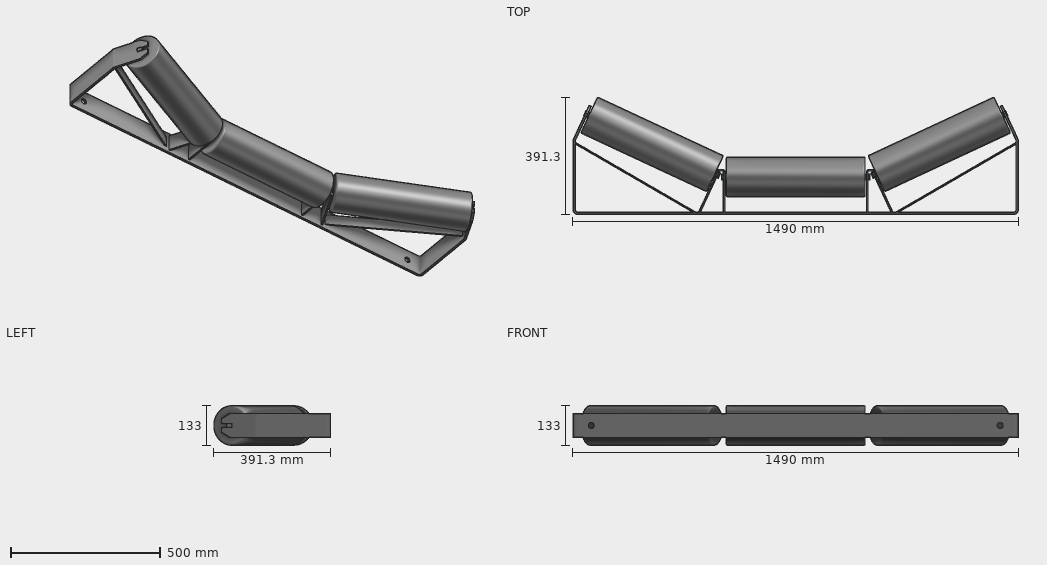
import cadquery as cq
import math

plate_width = 80.0
frame_thickness = 8.0
bend_radius = 16.0
trough_angle = 25.0

frame_length = 1490.0
end_bend_y = 250.0
end_arm_length = 127.0
tip_chamfer_width = 16.0
tip_chamfer_length = 28.0
mount_hole_diameter = 20.0
mount_hole_x = 684.0

roller_diameter = 133.0
roller_length = 465.0
roller_edge_radius = 5.0
shaft_diameter = 20.0
shaft_flat_width = 14.0
shaft_reach = 16.0
centre_roller_y = 125.5
side_roller_x = 480.5
side_roller_y = 234.37

bracket_width = 60.0
bracket_thickness = 6.0
bracket_inner_x = 236.5
bracket_top_y = 151.0
bracket_top_length = 22.0
bracket_bend_radius = 10.0

brace_width = 40.0
brace_thickness = 5.0
brace_end_y = 241.0
brace_foot_x = 335.0

frame_half = frame_length / 2
sin_trough = math.sin(math.radians(trough_angle))
cos_trough = math.cos(math.radians(trough_angle))
tan_trough = sin_trough / cos_trough


def mirrored(body):
    return body.mirror("YZ")


def plate_strip(outline, width):
    """Closed XY outline extruded over the width, centred on Z = 0."""
    return cq.Workplane("XY").polyline(outline).close().extrude(width / 2, both=True)


def shaft_bar(length):
    """Round bar along X with two flats facing up and down, centred on the origin."""
    flats = cq.Workplane("XY").box(length, shaft_diameter, shaft_flat_width)
    return cq.Workplane("YZ").circle(shaft_diameter / 2).extrude(length / 2, both=True).intersect(flats)


def make_roller():
    """Roller along X, centred on the origin."""
    drum = (
        cq.Workplane("YZ", origin=(-roller_length / 2, 0, 0))
        .circle(roller_diameter / 2)
        .extrude(roller_length)
        .edges()
        .fillet(roller_edge_radius)
    )
    return drum.union(shaft_bar(roller_length + 2 * shaft_reach))


def make_slots():
    """Cutter for the slots, open toward +Y, that take both shaft ends of a roller."""
    length = roller_length + 4 * shaft_reach
    depth = roller_diameter / 2
    opening = cq.Workplane("XY").box(length, depth, shaft_flat_width).translate((0, depth / 2, 0))
    return shaft_bar(length).union(opening)


def at_centre(body):
    return body.translate((0, centre_roller_y, 0))


def at_left(body):
    return body.rotate((0, 0, 0), (0, 0, 1), -trough_angle).translate((-side_roller_x, side_roller_y, 0))


def make_tip_corners():
    """Cutter for the two corners of the left end arm's tip."""
    half = plate_width / 2
    corner = (
        cq.Workplane("YZ")
        .polyline([
            (end_arm_length, half),
            (end_arm_length - tip_chamfer_length, half),
            (end_arm_length, half - tip_chamfer_width),
        ])
        .close()
        .extrude(frame_thickness)
    )
    corners = corner.union(corner.mirror("XY"))
    return corners.rotate((0, 0, 0), (0, 0, 1), -trough_angle).translate((-frame_half, end_bend_y, 0))


def make_frame():
    inner_half = frame_half - frame_thickness
    inner_bend_y = end_bend_y - frame_thickness * math.tan(math.radians(trough_angle / 2))
    tip_x = -frame_half + end_arm_length * sin_trough
    tip_y = end_bend_y + end_arm_length * cos_trough
    left_outer = [(tip_x, tip_y), (-frame_half, end_bend_y), (-frame_half, 0)]
    left_inner = [
        (-inner_half, frame_thickness),
        (-inner_half, inner_bend_y),
        (tip_x + frame_thickness * cos_trough, tip_y - frame_thickness * sin_trough),
    ]
    left_side = left_inner + left_outer
    right_side = [(-x, y) for x, y in reversed(left_side)]
    frame = plate_strip(left_side + right_side, plate_width)

    def bend(body, x, y, radius):
        for side_x in (-x, x):
            body = body.edges(cq.NearestToPointSelector((side_x, y, 0))).fillet(radius)
        return body

    frame = bend(frame, frame_half, 0, bend_radius)
    frame = bend(frame, inner_half, frame_thickness, bend_radius - frame_thickness)
    frame = bend(frame, frame_half, end_bend_y, bend_radius)
    frame = bend(frame, inner_half, inner_bend_y, bend_radius - frame_thickness)

    mount_holes = (
        cq.Workplane("XZ")
        .pushPoints([(-mount_hole_x, 0), (mount_hole_x, 0)])
        .circle(mount_hole_diameter / 2)
        .extrude(-frame_thickness)
    )
    frame = frame.cut(mount_holes)
    for cutter in (make_tip_corners(), at_left(make_slots())):
        frame = frame.cut(cutter).cut(mirrored(cutter))
    return frame


def make_bracket():
    """Left inner bracket, standing on the front bar."""
    upright_x = -bracket_inner_x
    crest_x = upright_x - bracket_top_length
    foot_x = crest_x - (bracket_top_y - frame_thickness) * tan_trough
    leg_run = bracket_thickness / cos_trough
    under_top_y = bracket_top_y - bracket_thickness
    bracket = plate_strip([
        (upright_x, frame_thickness),
        (upright_x, bracket_top_y),
        (crest_x, bracket_top_y),
        (foot_x, frame_thickness),
        (foot_x + leg_run, frame_thickness),
        (crest_x - bracket_thickness * tan_trough + leg_run, under_top_y),
        (upright_x - bracket_thickness, under_top_y),
        (upright_x - bracket_thickness, frame_thickness),
    ], bracket_width)
    bracket = bracket.edges("|Z and >X and >Y").fillet(bracket_bend_radius)
    return bracket.cut(at_left(make_slots())).cut(at_centre(make_slots()))


def make_brace():
    """Left brace, a flat bar from the end wall down to the front bar."""
    wall_x = -frame_half + frame_thickness
    slope = math.atan2(brace_end_y - frame_thickness, -brace_foot_x - wall_x)
    return plate_strip([
        (wall_x, brace_end_y),
        (-brace_foot_x, frame_thickness),
        (-brace_foot_x - brace_thickness / math.sin(slope), frame_thickness),
        (wall_x, brace_end_y - brace_thickness / math.cos(slope)),
    ], brace_width)


frame = make_frame()
bracket = make_bracket()
brace = make_brace()
centre_roller = at_centre(make_roller())
side_roller = at_left(make_roller())

bodies = [frame, centre_roller]
for body in (bracket, brace, side_roller):
    bodies += [body, mirrored(body)]

result = cq.Compound.makeCompound([body.val() for body in bodies])